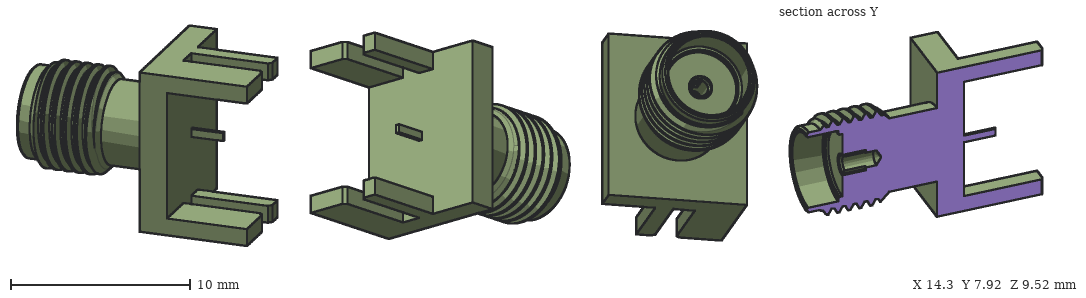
import cadquery as cq
import math

total_length = 14.27

flange_front = 7.86
flange_thickness = 1.64
flange_back = flange_front + flange_thickness
flange_width = 7.92
flange_height = 9.52
leg_thickness = 1.01
upper_leg_top = 0.93
board_slot_top = -0.11
board_slot_bottom = -1.34
leg_chamfer = 0.2

pin_length = 1.9
pin_width = 0.47
pin_thickness = 2 * abs(board_slot_top)

nose_radius = 2.65
nose_length = 0.81
nose_chamfer = 0.13
neck_radius = 2.44
neck_start = 5.0

thread_radius = 3.08
thread_root_radius = 2.74
thread_pitch = 0.664
thread_crest_width = 0.13
thread_base_width = 0.53
thread_turns = 7
first_crest = 1.25
crest_clearance = 0.07
root_overlap = 0.05

bore_radius = 2.31
bore_chamfer = 0.09
bore_depth = 1.9
recess_radius = 2.04
recess_chamfer = 0.09
recess_depth = 2.14

contact_radius = 0.65
contact_recess = 0.07
contact_mouth_radius = 0.6
contact_hole_radius = 0.47
contact_hole_depth = 2.0
contact_slot_width = 0.23
contact_slot_depth = 1.43
drill_half_angle = 59.0


def cylinder(start, length, radius):
    return cq.Workplane("YZ", origin=(start, 0, 0)).circle(radius).extrude(length)


def revolve_profile(points):
    """Revolve a closed (x, radius) outline about the X axis."""
    return cq.Workplane("XY").polyline(points).close().revolve(360, (0, 0, 0), (1, 0, 0))


def threaded_envelope(radius):
    """Threaded section with 45 degree ends, limited to the given radius."""
    return revolve_profile([
        (nose_length, 0),
        (nose_length, nose_radius),
        (nose_length + radius - nose_radius, radius),
        (neck_start - (radius - neck_radius), radius),
        (neck_start, neck_radius),
        (neck_start, 0),
    ])


def thread_ridge():
    """Right-hand trapezoidal ridge, swept along Z and then laid along X."""
    inner = thread_root_radius - root_overlap
    flank_slope = (thread_base_width - thread_crest_width) / 2 / (thread_radius - thread_root_radius)
    half_crest = thread_crest_width / 2
    half_base = thread_base_width / 2 + root_overlap * flank_slope
    helix = cq.Wire.makeHelix(thread_pitch, thread_pitch * thread_turns, inner)
    ridge = (
        cq.Workplane("XZ")
        .polyline([
            (inner, -half_base),
            (thread_radius, -half_crest),
            (thread_radius, half_crest),
            (inner, half_base),
        ])
        .close()
        .sweep(cq.Workplane(obj=helix), isFrenet=True)
    )
    laid = ridge.rotate((0, 0, 0), (0, 1, 0), 90)
    return laid.translate((first_crest - thread_pitch, 0, 0))


def flange_with_legs():
    plate = cq.Workplane("XY").box(flange_thickness, flange_width, flange_height)
    body = plate.translate((flange_front + flange_thickness / 2, 0, 0))
    bottom = -flange_width / 2
    upper_leg = [
        (flange_back, board_slot_top),
        (total_length - leg_chamfer, board_slot_top),
        (total_length, board_slot_top + leg_chamfer),
        (total_length, upper_leg_top),
        (flange_back, upper_leg_top),
    ]
    lower_leg = [
        (flange_back, board_slot_bottom),
        (total_length - leg_chamfer, board_slot_bottom),
        (total_length, board_slot_bottom - leg_chamfer),
        (total_length, bottom),
        (flange_back, bottom),
    ]
    for leg_base in (-flange_height / 2, flange_height / 2 - leg_thickness):
        for outline in (upper_leg, lower_leg):
            leg = cq.Workplane("XY", origin=(0, 0, leg_base)).polyline(outline).close()
            body = body.union(leg.extrude(leg_thickness))
    return body


def solder_pin():
    pin = cq.Workplane("XY").box(pin_length, pin_thickness, pin_width)
    return pin.translate((flange_back + pin_length / 2, 0, 0))


def barrel():
    nose = cylinder(0, nose_length, nose_radius).faces("<X").chamfer(nose_chamfer)
    neck = cylinder(neck_start, flange_front - neck_start, neck_radius)
    ridge = thread_ridge().intersect(threaded_envelope(thread_radius + crest_clearance))
    return threaded_envelope(thread_root_radius).union(ridge).union(nose).union(neck)


def socket():
    return revolve_profile([
        (0, 0),
        (0, bore_radius + bore_chamfer),
        (bore_chamfer, bore_radius),
        (bore_depth, bore_radius),
        (bore_depth, recess_radius + recess_chamfer),
        (bore_depth + recess_chamfer, recess_radius),
        (recess_depth, recess_radius),
        (recess_depth, 0),
    ])


def contact_cut():
    """Recess, countersunk drilled hole and the slot across the contact."""
    contact_face = recess_depth + contact_recess
    countersink_bottom = contact_face + contact_mouth_radius - contact_hole_radius
    hole_bottom = contact_face + contact_hole_depth
    tip = hole_bottom + contact_hole_radius / math.tan(math.radians(drill_half_angle))
    hole = revolve_profile([
        (recess_depth, 0),
        (recess_depth, contact_radius),
        (contact_face, contact_radius),
        (contact_face, contact_mouth_radius),
        (countersink_bottom, contact_hole_radius),
        (hole_bottom, contact_hole_radius),
        (tip, 0),
    ])
    slot_bar = cq.Workplane("XY").box(contact_slot_depth, contact_slot_width, 2 * contact_radius)
    slot = slot_bar.translate((recess_depth + contact_slot_depth / 2, 0, 0))
    slot = slot.intersect(cylinder(recess_depth, contact_slot_depth, contact_radius))
    return hole.union(slot)


result = flange_with_legs().union(solder_pin()).union(barrel())
result = result.cut(socket()).cut(contact_cut())